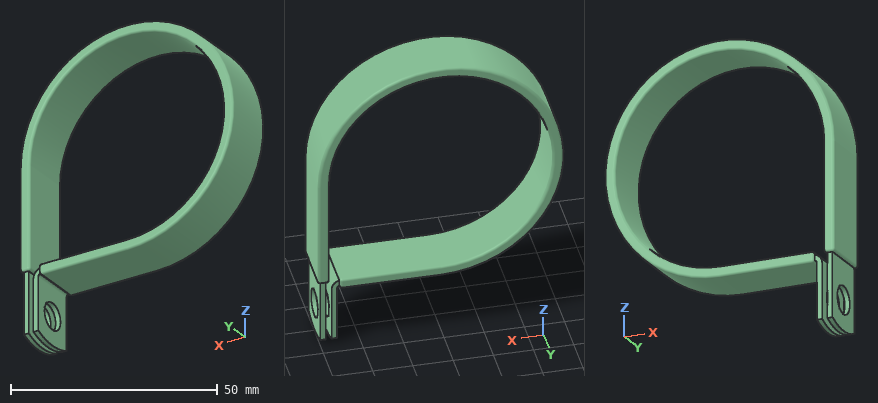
import cadquery as cq
import math

outer_radius = 30.59
total_height = 77.35
cushion_width = 14.3
cover = 0.735
strap_thickness = 1.4
vertical_cushion_end = 28.45
horizontal_cushion_end = 25.1

tab_gap = 1.4
bend_inner_radius = 1.0
tab_tip_rise = 1.4
hole_diameter = 7.3
hole_height = 8.0

cushion_inner_radius = outer_radius - 2 * cover - strap_thickness
strap_outer_radius = outer_radius - cover
strap_inner_radius = strap_outer_radius - strap_thickness
strap_width = cushion_width - 2 * cover
tip_z = outer_radius - total_height
lower_tab_outer_x = strap_inner_radius - tab_gap
lower_tab_inner_x = lower_tab_outer_x - strap_thickness
bend_x = lower_tab_inner_x - bend_inner_radius
bend_z = -strap_outer_radius - bend_inner_radius
bend_outer_radius = bend_inner_radius + strap_thickness


def band(outer, inner, arm_end_x, arm_end_z, width):
    """Three-quarter ring with a straight arm leaving each end."""
    diagonal = math.sqrt(0.5)
    return (
        cq.Workplane("XZ")
        .moveTo(outer, arm_end_z)
        .lineTo(outer, 0)
        .threePointArc((-outer * diagonal, outer * diagonal), (0, -outer))
        .lineTo(arm_end_x, -outer)
        .lineTo(arm_end_x, -inner)
        .lineTo(0, -inner)
        .threePointArc((-inner * diagonal, inner * diagonal), (inner, 0))
        .lineTo(inner, arm_end_z)
        .close()
        .extrude(width / 2, both=True)
    )


def make_cushion():
    """Cushion with every outer edge rounded over."""
    body = band(outer_radius, cushion_inner_radius,
                horizontal_cushion_end, -vertical_cushion_end, cushion_width)
    margin = cover
    end_edges = body.edges("|Y").edges(
        cq.selectors.BoxSelector(
            (margin, -cushion_width, -outer_radius - margin),
            (outer_radius + margin, cushion_width, -margin),
        )
    )
    side_edges = body.faces("<Y or >Y").edges()
    return body.newObject(side_edges.vals() + end_edges.vals()).fillet(cover)


def make_strap():
    """Metal strap: loop, bend and two parallel tabs."""
    loop = band(strap_outer_radius, strap_inner_radius, bend_x, tip_z, strap_width)
    diagonal = math.sqrt(0.5)
    bend_and_tab = (
        cq.Workplane("XZ")
        .moveTo(bend_x, -strap_inner_radius)
        .threePointArc(
            (bend_x + bend_outer_radius * diagonal, bend_z + bend_outer_radius * diagonal),
            (lower_tab_outer_x, bend_z),
        )
        .lineTo(lower_tab_outer_x, tip_z)
        .lineTo(lower_tab_inner_x, tip_z)
        .lineTo(lower_tab_inner_x, bend_z)
        .threePointArc(
            (bend_x + bend_inner_radius * diagonal, bend_z + bend_inner_radius * diagonal),
            (bend_x, -strap_outer_radius),
        )
        .close()
        .extrude(strap_width / 2, both=True)
    )
    return loop.union(bend_and_tab)


def make_tip_envelope():
    """Strap silhouette across its width, rounded at the tab tips."""
    half_width = strap_width / 2
    return (
        cq.Workplane("YZ")
        .moveTo(-half_width, outer_radius)
        .lineTo(-half_width, tip_z + tab_tip_rise)
        .threePointArc((0, tip_z), (half_width, tip_z + tab_tip_rise))
        .lineTo(half_width, outer_radius)
        .close()
        .extrude(outer_radius, both=True)
    )


def make_bolt_hole():
    """Bore through both tabs, clear of the loop."""
    return (
        cq.Workplane("YZ")
        .center(0, tip_z + hole_height)
        .circle(hole_diameter / 2)
        .extrude(outer_radius)
    )


strap = make_strap().intersect(make_tip_envelope())
result = make_cushion().union(strap).cut(make_bolt_hole())